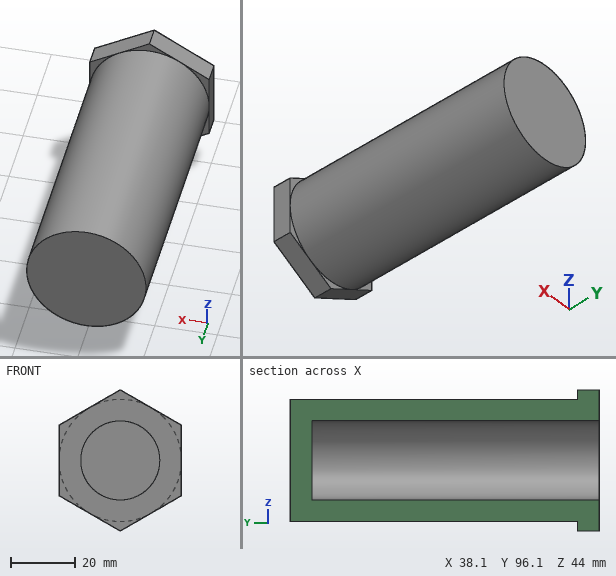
import cadquery as cq
import math

length = 96.1
body_diameter = 38.1
head_thickness = 6.8
bore_diameter = 24.6
floor_thickness = 6.8

across_corners = body_diameter / math.cos(math.radians(30))
bore_depth = length - floor_thickness

head_face = cq.Workplane("XZ", origin=(0, -length / 2, 0))

body = head_face.circle(body_diameter / 2).extrude(-length)

head = (
    head_face
    .transformed(rotate=(0, 0, 90))
    .polygon(6, across_corners)
    .extrude(-head_thickness)
)

bore = head_face.circle(bore_diameter / 2).extrude(-bore_depth)

result = body.union(head).cut(bore)